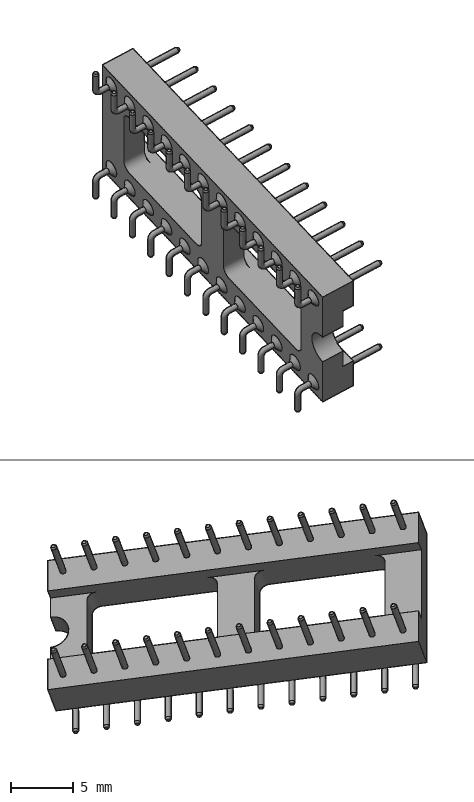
import cadquery as cq

LENGTH = 30.48
HEIGHT = 12.7
DEPTH = 3.02

WINDOW_HEIGHT = 6.7
CHANNEL_DEPTH = 1.0

WINDOW_LENGTH = 10.73
WINDOW_SPACING = 13.78
WINDOW_CORNER_RADIUS = 0.75

NOTCH_RADIUS = 1.5

PINS_PER_ROW = 12
PIN_PITCH = LENGTH / PINS_PER_ROW
ROW_SPACING = 4 * PIN_PITCH
PIN_RADIUS = 0.25
OVERALL_DEPTH = 8.4
OVERALL_HEIGHT = 15.15
FRONT_REACH = 1.8
BACK_REACH = OVERALL_DEPTH - DEPTH - FRONT_REACH
BEND_RADIUS = 0.45
TIP_LENGTH = 0.18
TIP_INSET = 0.1

COLLAR_RADIUS = 0.73
COLLAR_LENGTH = 0.37


def make_housing():
    housing = cq.Workplane("XY").box(LENGTH, DEPTH, HEIGHT).translate((0, DEPTH / 2, 0))
    channel = (
        cq.Workplane("XY")
        .box(LENGTH, CHANNEL_DEPTH, WINDOW_HEIGHT)
        .translate((0, DEPTH - CHANNEL_DEPTH / 2, 0))
    )
    windows = (
        cq.Workplane("XZ")
        .rarray(WINDOW_SPACING, 0.3, 2, 1)
        .rect(WINDOW_LENGTH, WINDOW_HEIGHT)
        .extrude(-DEPTH)
        .edges("|Y")
        .fillet(WINDOW_CORNER_RADIUS)
    )
    notch = cq.Workplane("XZ").center(LENGTH / 2, 0).circle(NOTCH_RADIUS).extrude(-DEPTH)
    return housing.cut(channel).cut(windows).cut(notch)


def make_upper_pin():
    """One pin of the upper row at x = 0, with its leg turned up."""
    row_z = ROW_SPACING / 2
    leg_y = PIN_RADIUS - FRONT_REACH
    bend_start_y = leg_y + BEND_RADIUS
    bend_end_z = row_z + BEND_RADIUS
    bend_middle = BEND_RADIUS * (1 - 0.5 ** 0.5)
    path = (
        cq.Workplane("YZ")
        .moveTo(DEPTH + BACK_REACH, row_z)
        .lineTo(bend_start_y, row_z)
        .threePointArc((leg_y + bend_middle, row_z + bend_middle), (leg_y, bend_end_z))
        .lineTo(leg_y, OVERALL_HEIGHT / 2)
    )
    wire = (
        cq.Workplane("XZ", origin=(0, DEPTH + BACK_REACH, row_z))
        .circle(PIN_RADIUS)
        .sweep(path)
    )
    wire = wire.faces(">Y").chamfer(TIP_LENGTH, TIP_INSET)
    wire = wire.faces(">Z").chamfer(TIP_LENGTH, TIP_INSET)
    collar = cq.Workplane(
        cq.Solid.makeCone(
            COLLAR_RADIUS, PIN_RADIUS, COLLAR_LENGTH,
            pnt=cq.Vector(0, 0, row_z), dir=cq.Vector(0, -1, 0),
        )
    )
    return wire.union(collar)


upper_pin = make_upper_pin()
lower_pin = upper_pin.mirror("XY")

result = make_housing()
for index in range(PINS_PER_ROW):
    pin_x = (index - (PINS_PER_ROW - 1) / 2) * PIN_PITCH
    for pin in (upper_pin, lower_pin):
        result = result.union(pin.translate((pin_x, 0, 0)))